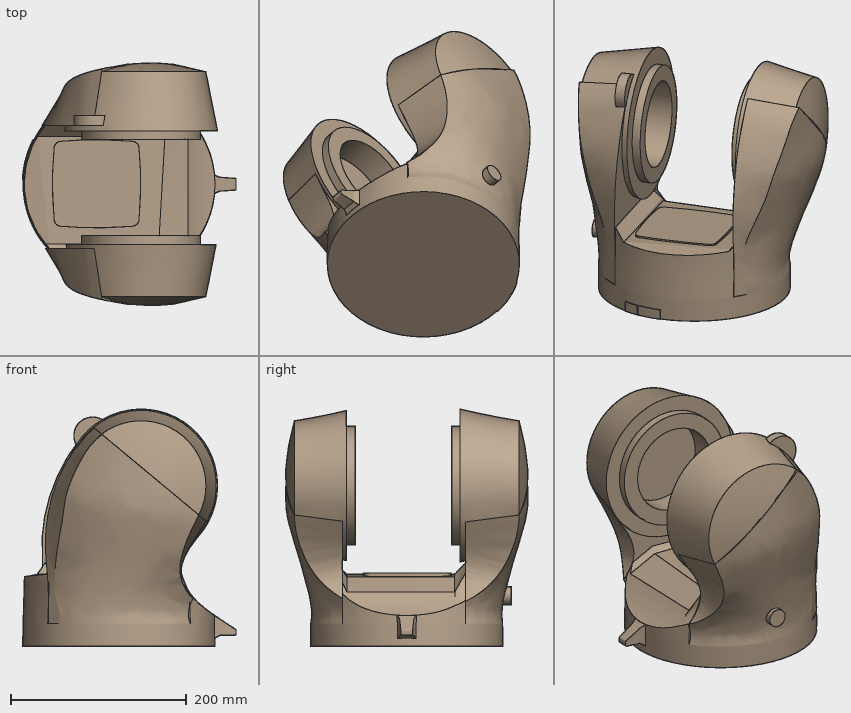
import cadquery as cq
import math


HUB_RADIUS = 109.0
HUB_HEIGHT = 26.0
DECK_Z = 82.0
DECK_EDGE_DROP = 3.0
DECK_FALL = 3.0
DECK_LIP = [(78.0, 62.0), (90.0, 49.5)]
FRONT_GUTTER_LIP = [(72.0, 72.5), (80.5, 58.5)]
BACK_GUTTER_LIP = [(70.5, 83.5), (80.0, 59.0)]
DECK_FRONT_BREAKS = (-79.0, 45.0)
DECK_BACK_BREAKS = (-92.0, 52.0)
GUTTER_BACK_BREAKS = (-93.0, 46.0)
DECK_DRAFT_DEG = 1.6
GROOVE_WIDTH = 0.5
DECK_BACK_Y = 54.0
DECK_FRONT_Y = -68.0
BACK_GUTTER_RISE = 13.0
FRONT_GUTTER_RISE = 4.5

HEAD_X = 25.0
HEAD_Z = 182.5
HEAD_MOUTH_RADIUS = 86.83
HEAD_RIM_RADIUS = 73.5
HEAD_RIM_Y = 127.6
DOME_CROWN_Y = 137.96
BACK_HEAD_Y = 60.4
BACK_NECK_Y = 66.8
BACK_RING_Y = 50.9
FRONT_HEAD_Y = 68.6
FRONT_NECK_Y = 73.0
FRONT_RING_Y = 58.4
RING_RADIUS = 67.5
BORE_RADIUS = 49.5
BORE_DEPTH = 33.0

SEAM_NORMAL_DEG = 50.25
SEAM_OFFSET = 16.2
NECK_OUTER_Y = 141.0
NECK_FOOT_Z = HUB_HEIGHT
THROAT_FOOT = (HUB_RADIUS, 35.0)
THROAT_FOOT_DIRECTION = (-0.8, 0, 0.6)
INNER_LEFT = [(-75.0, 187.0), (-90.0, 136.0), (-92.5, 100.0)]
OUTER_LEFT = [(-43.5, 200.0), (-51.0, 167.0), (-46.0, 136.0), (-39.5, 110.0), (-20.0, 75.0)]
INNER_LEFT_FOOT_X = -92.0
OUTER_LEFT_FOOT_X = -15.0
INNER_THROAT = [(84.0, 116.0), (70.5, 84.0), (80.5, 58.0)]
OUTER_THROAT = [(72.0, 113.0), (68.0, 86.0), (80.5, 58.0)]
SKIN_STATIONS = [
    (HUB_HEIGHT, HUB_RADIUS, 0.0, HUB_RADIUS),
    (48.0, HUB_RADIUS, 0.0, HUB_RADIUS),
    (78.0, 116.0, 12.0, 123.0),
    (110.0, 125.2, 30.0, 170.0),
    (145.0, 135.2, 35.0, 185.0),
    (HEAD_Z, 137.5, 35.0, 217.0),
    (220.0, 135.0, 28.0, 250.0),
    (256.0, 127.8, 25.0, 265.0),
]
SKIN_HALF_WIDTH = 100.0

PAD_CENTER = (-25.5, 0.5)
PAD_HALF = 47.5
PAD_BULGE = 2.5
PAD_HEIGHT = 1.5
PAD_CORNER_RADIUS = 8.0
STOP_X = -30.0
STOP_Z = 239.0
STOP_RADIUS = 21.3
STOP_INNER_Y = 66.5
STOP_OUTER_Y = 78.0
POINTER_TIP_X = 132.92
POINTER_FLARE_X = HUB_RADIUS + 1.0
POINTER_NECK_X = HUB_RADIUS + 5.5
POINTER_TIP_RADIUS = 2.2
POINTER_FLOOR_Z = 12.5
POINTER_TIP_TOP_Z = 19.0
POINTER_ROOT_TOP_Z = 38.0
POINTER_ROOT_FLOOR_Z = 6.5
POINTER_ROOT_HALF_WIDTH = 15.0
POINTER_FLARE_HALF_WIDTH = 9.8
POINTER_NECK_HALF_WIDTH = 8.0
POINTER_TIP_HALF_WIDTH = 6.7
PORT_RADIUS = 10.3
PORT_X = 0.0
PORT_Z = 57.5
PORT_END_Y = 118.8
MARK_HEIGHT = 11.5
MARK_THICKNESS = 0.92
MARK_BANDS = [(5.3, 33.4), (34.5, 51.0)]

BIG = 400.0
OVERLAP = 5.0


def slab(x_min, x_max, y_min, y_max, z_min, z_max):
    """Axis-aligned block between the given limits."""
    size = (x_max - x_min, y_max - y_min, z_max - z_min)
    return cq.Workplane("XY").box(*size, centered=False).translate((x_min, y_min, z_min))


def y_cylinder(x, z, radius, y_start, y_end):
    """Cylinder parallel to Y."""
    plane = cq.Workplane("XZ", origin=(x, y_start, z))
    return plane.circle(radius).extrude(y_start - y_end)


def head_radius(y):
    """Radius of the conical head at distance y from the XZ plane."""
    slope = (HEAD_MOUTH_RADIUS - HEAD_RIM_RADIUS) / (HEAD_RIM_Y - BACK_HEAD_Y)
    return HEAD_MOUTH_RADIUS - slope * (y - BACK_HEAD_Y)


def deck_section(y, rise, fall, breaks, lip):
    """Outline of the deck in a plane of constant y, lifted by rise and falling towards +X."""
    left_break, right_break = breaks
    top = DECK_Z + rise
    plane = cq.Workplane("XZ", origin=(0, y, 0))
    outline = (
        plane.moveTo(-2 * HUB_RADIUS, 0)
        .lineTo(-HUB_RADIUS, top - DECK_EDGE_DROP)
        .lineTo(left_break, top)
        .lineTo(right_break, top - fall)
        .lineTo(*lip[0])
        .threePointArc(lip[1], THROAT_FOOT)
        .lineTo(2 * HUB_RADIUS, 0)
        .close()
    )
    return outline.wires().val()


def make_hub():
    base = cq.Workplane("XY").circle(HUB_RADIUS).extrude(HUB_HEIGHT)
    upper = (
        cq.Workplane("XY", origin=(0, 0, HUB_HEIGHT))
        .circle(HUB_RADIUS)
        .extrude(DECK_Z + BACK_GUTTER_RISE - HUB_HEIGHT, taper=DECK_DRAFT_DEG)
    )
    sections = [
        deck_section(-FRONT_NECK_Y, FRONT_GUTTER_RISE, 0, DECK_FRONT_BREAKS, FRONT_GUTTER_LIP),
        deck_section(DECK_FRONT_Y, 0, DECK_FALL, DECK_FRONT_BREAKS, DECK_LIP),
        deck_section(DECK_BACK_Y, 0, DECK_FALL, DECK_BACK_BREAKS, DECK_LIP),
        deck_section(DECK_BACK_Y + GROOVE_WIDTH, 0, 0, DECK_BACK_BREAKS, DECK_LIP),
        deck_section(BACK_NECK_Y, BACK_GUTTER_RISE, 0, GUTTER_BACK_BREAKS, BACK_GUTTER_LIP),
    ]
    deck = cq.Workplane(cq.Solid.makeLoft(sections, True))
    return base.union(upper.intersect(deck))


def make_pad():
    """Raised square pad with slightly bowed sides."""
    h = PAD_HALF
    m = PAD_HALF + PAD_BULGE
    return (
        cq.Workplane("XY", origin=(*PAD_CENTER, DECK_Z - OVERLAP))
        .moveTo(-h, -h)
        .threePointArc((0, -m), (h, -h))
        .threePointArc((m, 0), (h, h))
        .threePointArc((0, m), (-h, h))
        .threePointArc((-m, 0), (-h, -h))
        .close()
        .extrude(PAD_HEIGHT + OVERLAP)
        .edges("|Z")
        .fillet(PAD_CORNER_RADIUS)
    )


def neck_section(y, left_points, left_foot_x, throat_points):
    """Side outline of an arm: head arc, back curve, foot and throat curve."""
    radius = head_radius(y)

    def on_head(angle_deg):
        angle = math.radians(angle_deg)
        return (HEAD_X + radius * math.cos(angle), HEAD_Z + radius * math.sin(angle))

    def tangent(angle_deg):
        angle = math.radians(angle_deg)
        return cq.Vector(-math.sin(angle), 0, math.cos(angle))

    def at(point):
        return cq.Vector(point[0], y, point[1])

    half_span = math.degrees(math.acos(SEAM_OFFSET / radius))
    left_deg = SEAM_NORMAL_DEG + half_span
    right_deg = SEAM_NORMAL_DEG - half_span
    left = on_head(left_deg)
    right = on_head(right_deg)
    middle = on_head(SEAM_NORMAL_DEG)
    left_foot = (left_foot_x, NECK_FOOT_Z)
    right_foot = (THROAT_FOOT[0], NECK_FOOT_Z)
    back = [at(p) for p in [left, *left_points, left_foot]]
    throat = [at(p) for p in [THROAT_FOOT, *reversed(throat_points), right]]
    down = cq.Vector(0, 0, -1)
    foot_slope = cq.Vector(*THROAT_FOOT_DIRECTION)
    edges = [
        cq.Edge.makeThreePointArc(at(right), at(middle), at(left)),
        cq.Edge.makeSpline(back, tangents=[tangent(left_deg), down]),
        cq.Edge.makeLine(at(left_foot), at(right_foot)),
        cq.Edge.makeLine(at(right_foot), at(THROAT_FOOT)),
        cq.Edge.makeSpline(throat, tangents=[foot_slope, tangent(right_deg)]),
    ]
    return cq.Wire.assembleEdges(edges)


def skin_section(z, crown_y, crown_x, radius):
    """Horizontal section of the arm envelope: flat inside, one arc outside."""
    def arc_y(x):
        return crown_y - radius + math.sqrt(radius ** 2 - (x - crown_x) ** 2)

    w = SKIN_HALF_WIDTH
    outline = (
        cq.Workplane("XY", origin=(0, 0, z))
        .moveTo(-w, 0)
        .lineTo(w, 0)
        .lineTo(w, arc_y(w))
        .threePointArc((0, arc_y(0)), (-w, arc_y(-w)))
        .close()
    )
    return outline.wires().val()


def seam_half_space(start, end):
    """Block on one side of the seam plane, between two offsets along its normal."""
    block = slab(start, end, 0, BIG, -BIG, BIG)
    turned = block.rotate((0, 0, 0), (0, 1, 0), -SEAM_NORMAL_DEG)
    return turned.translate((HEAD_X, 0, HEAD_Z))


def make_neck():
    inner = neck_section(BACK_HEAD_Y, INNER_LEFT, INNER_LEFT_FOOT_X, INNER_THROAT)
    outer = neck_section(NECK_OUTER_Y, OUTER_LEFT, OUTER_LEFT_FOOT_X, OUTER_THROAT)
    prism = cq.Workplane(cq.Solid.makeLoft([inner, outer], True))
    skin = cq.Workplane(cq.Solid.makeLoft([skin_section(*s) for s in SKIN_STATIONS]))
    return prism.intersect(skin).cut(seam_half_space(SEAM_OFFSET, BIG))


def make_head():
    """Cone closed by a shallow dome, turned about the pivot axis."""
    rise = DOME_CROWN_Y - HEAD_RIM_Y
    dome_radius = (HEAD_RIM_RADIUS ** 2 + rise ** 2) / (2 * rise)
    half_angle = math.asin(HEAD_RIM_RADIUS / dome_radius) / 2
    dome_middle = (
        dome_radius * math.sin(half_angle),
        DOME_CROWN_Y - dome_radius * (1 - math.cos(half_angle)),
    )
    return (
        cq.Workplane("XY")
        .moveTo(0, BACK_HEAD_Y)
        .lineTo(HEAD_MOUTH_RADIUS, BACK_HEAD_Y)
        .lineTo(HEAD_RIM_RADIUS, HEAD_RIM_Y)
        .threePointArc(dome_middle, (0, DOME_CROWN_Y))
        .close()
        .revolve(360, (0, 0, 0), (0, 1, 0))
        .translate((HEAD_X, 0, HEAD_Z))
    )


def make_arm(head_y, neck_y, ring_y):
    """Arm on the +Y side with a pivot ring and a blind bore on its inner face."""
    outward = slab(-BIG, BIG, neck_y, BIG, -BIG, BIG)
    body = NECK.intersect(outward)
    below_seam = seam_half_space(-BIG, SEAM_OFFSET).intersect(outward)
    head = HEAD.intersect(slab(-BIG, BIG, head_y, BIG, -BIG, BIG)).cut(below_seam)
    ring = y_cylinder(HEAD_X, HEAD_Z, RING_RADIUS, ring_y, neck_y)
    bore = y_cylinder(HEAD_X, HEAD_Z, BORE_RADIUS, ring_y, ring_y + BORE_DEPTH)
    return body.union(head).union(ring).cut(bore)


def make_stop():
    """Round stop lug on the back of the +Y head."""
    return y_cylinder(STOP_X, STOP_Z, STOP_RADIUS, STOP_INNER_Y, STOP_OUTER_Y)


def make_port():
    """Connector stub on the outer side of the +Y arm."""
    return y_cylinder(PORT_X, PORT_Z, PORT_RADIUS, HUB_RADIUS - 2 * OVERLAP, PORT_END_Y)


def make_pointer():
    """Wedge-shaped finger on the +X side of the hub: a side outline trimmed by a plan outline."""
    root_x = HUB_RADIUS - OVERLAP
    side = (
        cq.Workplane("XZ")
        .moveTo(root_x, POINTER_ROOT_TOP_Z)
        .lineTo(POINTER_TIP_X, POINTER_TIP_TOP_Z)
        .lineTo(POINTER_TIP_X, POINTER_FLOOR_Z)
        .lineTo(POINTER_NECK_X, POINTER_FLOOR_Z)
        .lineTo(root_x, POINTER_ROOT_FLOOR_Z)
        .close()
        .extrude(2 * POINTER_ROOT_HALF_WIDTH, both=True)
        .edges("|Y and >X")
        .fillet(POINTER_TIP_RADIUS)
    )
    plan = (
        cq.Workplane("XY")
        .moveTo(root_x, -POINTER_ROOT_HALF_WIDTH)
        .threePointArc(
            (POINTER_FLARE_X, -POINTER_FLARE_HALF_WIDTH),
            (POINTER_NECK_X, -POINTER_NECK_HALF_WIDTH),
        )
        .lineTo(POINTER_TIP_X, -POINTER_TIP_HALF_WIDTH)
        .lineTo(POINTER_TIP_X, POINTER_TIP_HALF_WIDTH)
        .lineTo(POINTER_NECK_X, POINTER_NECK_HALF_WIDTH)
        .threePointArc(
            (POINTER_FLARE_X, POINTER_FLARE_HALF_WIDTH),
            (root_x, POINTER_ROOT_HALF_WIDTH),
        )
        .close()
        .extrude(DECK_Z)
    )
    return side.intersect(plan)


def make_marks():
    """Two thin raised bands at the foot of the hub on its -X side."""
    ring = (
        cq.Workplane("XY")
        .circle(HUB_RADIUS + MARK_THICKNESS)
        .circle(HUB_RADIUS - OVERLAP)
        .extrude(MARK_HEIGHT)
    )
    windows = [slab(-BIG, 0, y0, y1, 0, MARK_HEIGHT) for y0, y1 in MARK_BANDS]
    return ring.intersect(windows[0].union(windows[1]))


NECK = make_neck()
HEAD = make_head()
back_arm = make_arm(BACK_HEAD_Y, BACK_NECK_Y, BACK_RING_Y)
front_arm = make_arm(FRONT_HEAD_Y, FRONT_NECK_Y, FRONT_RING_Y).mirror("XZ")

result = make_hub().union(back_arm).union(front_arm)
for feature in (make_pad(), make_stop(), make_port(), make_pointer(), make_marks()):
    result = result.union(feature)